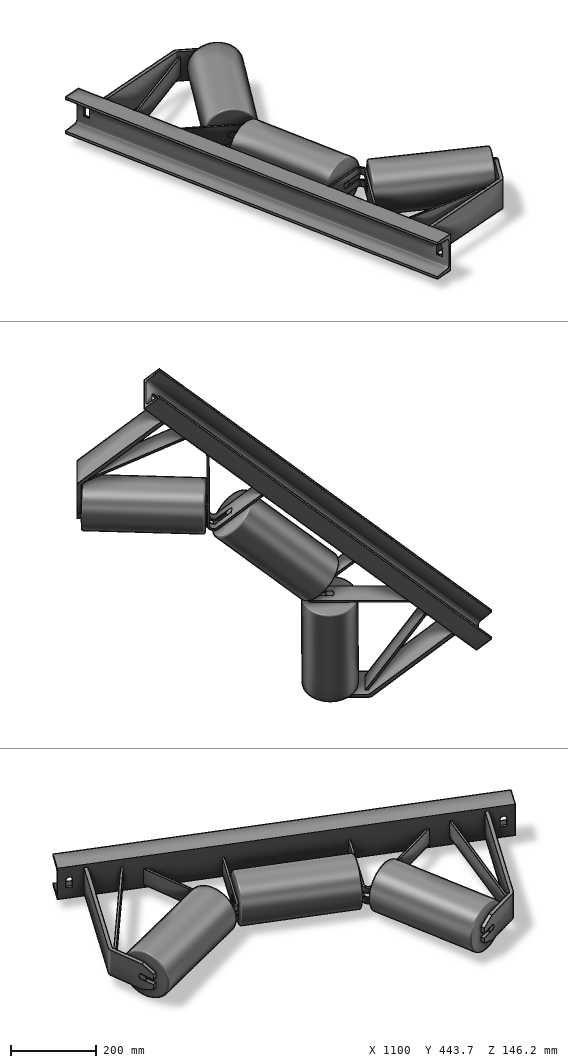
import cadquery as cq
import math


beam_length = 1100.0
beam_height = 100.0
beam_depth = 51.0
web_thickness = 6.0
flange_tip_thickness = 7.0
flange_root_thickness = 10.0
flange_fillet = 9.0

mounting_slot_width = 16.0
mounting_slot_height = 33.0
mounting_slot_end_distance = 29.0

roller_diameter = 133.0
roller_length = 290.0
roller_edge_fillet = 4.0
roller_gap = 3.0
shaft_diameter = 20.0
shaft_flat_width = 15.0
shaft_slot_depth = 22.0
shaft_slot_reach = 77.0

middle_axis_y = 117.0
middle_axis_z = -15.0

strap_thickness = 5.0
strap_width = 51.0
strap_top_y = 173.0
strap_bend_radius = 15.0
strap_bend_x = -(roller_length / 2 + roller_gap + strap_bend_radius)
strap_bend_y = strap_top_y - strap_bend_radius

post_outer_x = -486.0
post_corner_y = 289.0
post_tip_y = 378.0
post_thickness = 9.4
post_width = 80.0
post_bend_radius = 14.0
post_chamfer_length = 33.0
post_chamfer_width = 16.0

brace_thickness = 5.0
brace_width = strap_width
brace_foot_x = -395.0
brace_head_x = -474.0
brace_head_y = 295.0

side_axis_start_y = 356.0
side_axis_start_z = -1.0
side_axis_start_x = post_outer_x + side_axis_start_y - post_corner_y

DIAGONAL = math.sqrt(0.5)
plate_direction = cq.Vector(DIAGONAL, DIAGONAL, 0)
plan_direction = cq.Vector(DIAGONAL, -DIAGONAL, 0)

side_axis_start = cq.Vector(side_axis_start_x, side_axis_start_y, side_axis_start_z)
strap_bend_center = cq.Vector(strap_bend_x, strap_bend_y, 0)
strap_inside_radius = strap_bend_radius - strap_thickness
side_span = (strap_bend_center - side_axis_start).dot(plan_direction) - strap_inside_radius
side_drop_angle = math.atan2(side_axis_start_z - middle_axis_z, side_span)
side_axis_direction = (
    plan_direction * math.cos(side_drop_angle) - cq.Vector(0, 0, 1) * math.sin(side_drop_angle)
)
side_shaft_length = side_span / math.cos(side_drop_angle)
side_post_stub = post_thickness + roller_gap
side_strap_stub = side_shaft_length - side_post_stub - roller_length

middle_stub = roller_gap + strap_thickness

side_roller_plane = cq.Plane(
    origin=side_axis_start + side_axis_direction * (side_post_stub + roller_length / 2),
    xDir=plate_direction,
    normal=side_axis_direction,
)
middle_roller_plane = cq.Plane(
    origin=(0, middle_axis_y, middle_axis_z),
    xDir=(0, 1, 0),
    normal=(1, 0, 0),
)


def make_beam():
    half_height = beam_height / 2
    root_z = half_height - flange_root_thickness
    tip_z = half_height - flange_tip_thickness
    profile = [
        (0, -half_height),
        (-beam_depth, -half_height),
        (-beam_depth, -tip_z),
        (-web_thickness, -root_z),
        (-web_thickness, root_z),
        (-beam_depth, tip_z),
        (-beam_depth, half_height),
        (0, half_height),
    ]
    beam = cq.Workplane("YZ", origin=(-beam_length / 2, 0, 0)).polyline(profile).close().extrude(beam_length)
    for z in (-root_z, root_z):
        inside_corner = cq.selectors.NearestToPointSelector((0, -web_thickness, z))
        beam = beam.edges("|X").edges(inside_corner).fillet(flange_fillet)
    slot_x = beam_length / 2 - mounting_slot_end_distance
    for x in (-slot_x, slot_x):
        beam = beam.cut(mounting_slot(x))
    return beam


def mounting_slot(x):
    half_width = mounting_slot_width / 2
    half_height = mounting_slot_height / 2
    shoulder_z = half_height - half_width
    return (
        cq.Workplane("XZ", origin=(x, 0, 0))
        .moveTo(-half_width, -half_height)
        .lineTo(half_width, -half_height)
        .lineTo(half_width, shoulder_z)
        .threePointArc((0, half_height), (-half_width, shoulder_z))
        .close()
        .extrude(web_thickness)
    )


def make_roller(plane, start_stub, end_stub):
    """Drum with rounded rims and a flatted shaft stub at each end."""
    half_length = roller_length / 2
    drum = (
        cq.Workplane(plane)
        .workplane(offset=-half_length)
        .circle(roller_diameter / 2)
        .extrude(roller_length)
        .edges("%CIRCLE")
        .fillet(roller_edge_fillet)
    )
    start_shaft = flatted_shaft(plane, -half_length - start_stub, start_stub)
    end_shaft = flatted_shaft(plane, half_length, end_stub)
    return drum.union(start_shaft).union(end_shaft)


def flatted_shaft(plane, offset, length):
    base = cq.Workplane(plane).workplane(offset=offset)
    flats = base.rect(shaft_diameter, shaft_flat_width).extrude(length)
    return base.circle(shaft_diameter / 2).extrude(length).intersect(flats)


def shaft_slot(plane, side):
    """Cutter beyond one drum end (side -1 or 1): fits the flatted shaft and opens along local X."""
    offset = roller_length / 2 if side > 0 else -roller_length / 2 - shaft_slot_depth
    channel = (
        cq.Workplane(plane)
        .workplane(offset=offset)
        .center(shaft_slot_reach / 2, 0)
        .rect(shaft_slot_reach, shaft_flat_width)
        .extrude(shaft_slot_depth)
    )
    return flatted_shaft(plane, offset, shaft_slot_depth).union(channel)


def make_post():
    inner_x = post_outer_x + post_thickness
    inner_corner_y = post_corner_y - post_thickness * math.tan(math.radians(22.5))
    tip_x = post_outer_x + post_tip_y - post_corner_y
    tip_shift = post_thickness * DIAGONAL
    profile = [
        (post_outer_x, 0),
        (post_outer_x, post_corner_y),
        (tip_x, post_tip_y),
        (tip_x + tip_shift, post_tip_y - tip_shift),
        (inner_x, inner_corner_y),
        (inner_x, 0),
    ]
    post = cq.Workplane("XY", origin=(0, 0, -post_width / 2)).polyline(profile).close().extrude(post_width)
    outer_bend = cq.selectors.NearestToPointSelector((post_outer_x, post_corner_y, 0))
    inner_bend = cq.selectors.NearestToPointSelector((inner_x, inner_corner_y, 0))
    post = post.edges(outer_bend).fillet(post_bend_radius)
    post = post.edges(inner_bend).fillet(post_bend_radius - post_thickness)

    tip_plane = cq.Plane(origin=(tip_x, post_tip_y, 0), xDir=plate_direction, normal=plan_direction)
    for side in (-1, 1):
        edge = side * post_width / 2
        corner = [
            (0, edge),
            (-post_chamfer_length, edge),
            (0, edge - side * post_chamfer_width),
        ]
        post = post.cut(cq.Workplane(tip_plane).polyline(corner).close().extrude(post_thickness))
    return post.cut(shaft_slot(side_roller_plane, -1))


def make_strap():
    bend_angle = 135

    def bend_point(radius, degrees):
        angle = math.radians(degrees)
        return (strap_bend_x + radius * math.cos(angle), strap_bend_y + radius * math.sin(angle))

    def foot_point(radius):
        """Where the 45-degree leg meets the beam."""
        x, y = bend_point(radius, bend_angle)
        return (x - y, 0)

    outer = strap_bend_radius
    inner = strap_inside_radius
    strap = (
        cq.Workplane("XY", origin=(0, 0, middle_axis_z - strap_width / 2))
        .moveTo(strap_bend_x + outer, 0)
        .lineTo(*bend_point(outer, 0))
        .threePointArc(bend_point(outer, bend_angle / 2), bend_point(outer, bend_angle))
        .lineTo(*foot_point(outer))
        .lineTo(*foot_point(inner))
        .lineTo(*bend_point(inner, bend_angle))
        .threePointArc(bend_point(inner, bend_angle / 2), bend_point(inner, 0))
        .lineTo(strap_bend_x + inner, 0)
        .close()
        .extrude(strap_width)
    )
    return strap.cut(shaft_slot(middle_roller_plane, -1)).cut(shaft_slot(side_roller_plane, 1))


def make_brace(post):
    """Slanted bar whose head is trimmed to the inside of the post."""
    lean_angle = math.atan2(brace_foot_x - brace_head_x, brace_head_y)
    half_width = brace_thickness / 2 / math.cos(lean_angle)
    profile = [
        (brace_foot_x - half_width, 0),
        (brace_foot_x + half_width, 0),
        (brace_head_x + half_width, brace_head_y),
        (brace_head_x - half_width, brace_head_y),
    ]
    bar = cq.Workplane("XY", origin=(0, 0, -brace_width / 2)).polyline(profile).close().extrude(brace_width)
    return bar.cut(post)


beam = make_beam()
middle_roller = make_roller(middle_roller_plane, middle_stub, middle_stub)
side_roller = make_roller(side_roller_plane, side_post_stub, side_strap_stub)
post = make_post()
strap = make_strap()
brace = make_brace(post)

bodies = [beam.solids().val(), middle_roller.solids().val()]
for left_body in (side_roller, post, strap, brace):
    bodies.append(left_body.solids().val())
    bodies.append(left_body.mirror("YZ").solids().val())

result = cq.Compound.makeCompound(bodies)